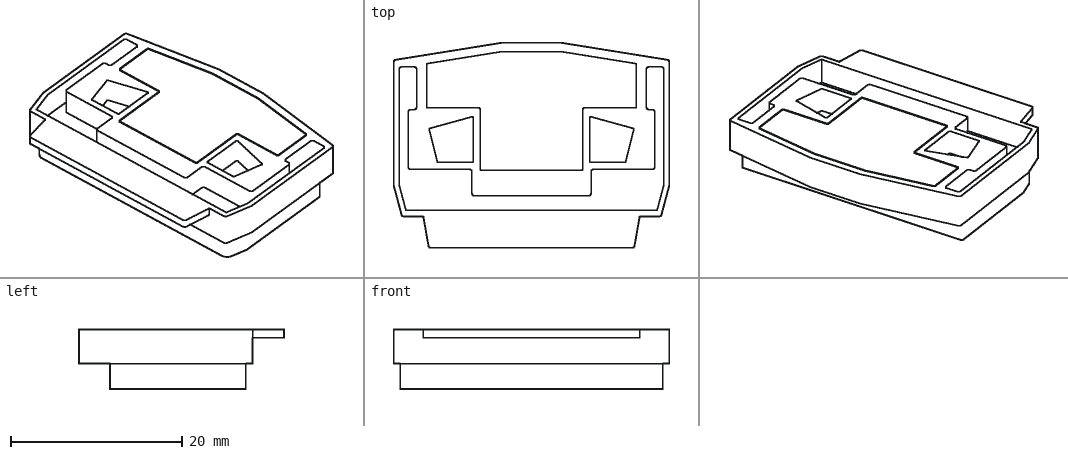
import cadquery as cq
import math

BASE_HEIGHT = 3.0
BODY_HEIGHT = 4.0
TOP_Z = BASE_HEIGHT + BODY_HEIGHT

BODY_HALF_WIDTH = 16.1
BODY_DEPTH = 20.32
SHOULDER_Y = 18.3
CROWN_HALF_WIDTH = 3.45
CHAMFER_Y = 3.57
CHAMFER_ANGLE = 15
CHAMFER_SLOPE = math.tan(math.radians(CHAMFER_ANGLE))
CORNER_RADIUS = 0.3
CROWN_SLOPE = (BODY_DEPTH - SHOULDER_Y) / (BODY_HALF_WIDTH - CROWN_HALF_WIDTH)

BASE_HALF_WIDTH = 15.35
BASE_FRONT_Y = 0.8
BASE_BACK_Y = 16.68
BASE_CHAMFER_Y = 3.57
BASE_CORNER_RADIUS = 1.0
BASE_BACK_RADIUS = 0.1

TONGUE_LENGTH = 3.67
TONGUE_THICKNESS = 1.0
TONGUE_ROOT_HALF_WIDTH = 12.65
TONGUE_TAPER_ANGLE = 10
TONGUE_TAPER = TONGUE_LENGTH * math.tan(math.radians(TONGUE_TAPER_ANGLE))
TONGUE_TIP_HALF_WIDTH = TONGUE_ROOT_HALF_WIDTH - TONGUE_TAPER

CHANNEL_DEPTH = 3.12
SIDE_WALL = 0.65
FRONT_WALL = 0.7
CHANNEL_HALF_WIDTH = BODY_HALF_WIDTH - SIDE_WALL
CHANNEL_CHAMFER_Y = CHAMFER_Y + SIDE_WALL * math.tan(math.radians(CHAMFER_ANGLE / 2))
CHANNEL_BACK_Y = 17.5
CHANNEL_ARM_INNER_X = 13.43
CHANNEL_STEP_Y = 12.5
ISLAND_HALF_WIDTH = 14.4
ISLAND_FRONT_Y = 5.5
ISLAND_NOSE_HALF_WIDTH = 6.95
ISLAND_NOSE_Y = 2.4
CHANNEL_RADIUS = 0.3

RECESS_DEPTH = 0.1
RECESS_HALF_WIDTH = 12.27
RECESS_STEM_HALF_WIDTH = 6.0
RECESS_BACK_Y = 19.25
RECESS_CROWN_HALF_WIDTH = 3.55
RECESS_SHOULDER_Y = RECESS_BACK_Y - (RECESS_HALF_WIDTH - RECESS_CROWN_HALF_WIDTH) * CROWN_SLOPE
RECESS_STEP_Y = 12.7
RECESS_FRONT_Y = 5.4
RECESS_RADIUS = 0.15

WINDOW_DEPTH = 3.0
WINDOW_CORNERS = [(6.83, 6.3), (10.98, 6.3), (11.98, 10.27), (6.83, 11.7)]
WINDOW_RADIUS = 0.1

SEARCH_REACH = 0.015


def symmetric_outline(right_half):
    """Close a right-hand outline, listed front to back, with its mirror image."""
    return right_half + [(-x, y) for x, y in reversed(right_half)]


def prism(points, bottom_z, height):
    return cq.Workplane("XY").workplane(offset=bottom_z).polyline(points).close().extrude(height)


def upright_edges(solid, corners, radius):
    """Round the vertical edges at the given corners and at their mirror images in X."""
    middle_z = solid.val().Center().z
    for x, y in corners:
        for side in (-1, 1):
            low = (side * x - SEARCH_REACH, y - SEARCH_REACH, middle_z - SEARCH_REACH)
            high = (side * x + SEARCH_REACH, y + SEARCH_REACH, middle_z + SEARCH_REACH)
            solid = solid.edges(cq.selectors.BoxSelector(low, high)).fillet(radius)
    return solid


def chamfered_front(half_width, chamfer_y, front_y):
    """Front corner and chamfer start of a side that leans in towards the front."""
    front_half_width = half_width - (chamfer_y - front_y) * CHAMFER_SLOPE
    return [(front_half_width, front_y), (half_width, chamfer_y)]


def make_body():
    front = chamfered_front(BODY_HALF_WIDTH, CHAMFER_Y, 0)
    shoulder = (BODY_HALF_WIDTH, SHOULDER_Y)
    outline = symmetric_outline(front + [shoulder, (CROWN_HALF_WIDTH, BODY_DEPTH)])
    body = prism(outline, BASE_HEIGHT, BODY_HEIGHT)
    return upright_edges(body, [front[0], shoulder], CORNER_RADIUS)


def make_base():
    front = chamfered_front(BASE_HALF_WIDTH, BASE_CHAMFER_Y, BASE_FRONT_Y)
    back = (BASE_HALF_WIDTH, BASE_BACK_Y)
    base = prism(symmetric_outline(front + [back]), 0, BASE_HEIGHT)
    base = upright_edges(base, front, BASE_CORNER_RADIUS)
    return upright_edges(base, [back], BASE_BACK_RADIUS)


def add_tongue(body):
    tip = (TONGUE_TIP_HALF_WIDTH, -TONGUE_LENGTH)
    root = (TONGUE_ROOT_HALF_WIDTH, 0)
    inside_body = (TONGUE_ROOT_HALF_WIDTH, FRONT_WALL / 2)
    bottom_z = TOP_Z - TONGUE_THICKNESS
    tongue = prism(symmetric_outline([tip, root, inside_body]), bottom_z, TONGUE_THICKNESS)
    tongue = upright_edges(tongue, [tip], CORNER_RADIUS)
    return body.union(tongue)


def make_channel():
    front = chamfered_front(CHANNEL_HALF_WIDTH, CHANNEL_CHAMFER_Y, FRONT_WALL)
    rounded = [
        (CHANNEL_HALF_WIDTH, CHANNEL_BACK_Y),
        (CHANNEL_ARM_INNER_X, CHANNEL_BACK_Y),
        (CHANNEL_ARM_INNER_X, CHANNEL_STEP_Y),
        (ISLAND_HALF_WIDTH, CHANNEL_STEP_Y),
        (ISLAND_HALF_WIDTH, ISLAND_FRONT_Y),
        (ISLAND_NOSE_HALF_WIDTH, ISLAND_FRONT_Y),
        (ISLAND_NOSE_HALF_WIDTH, ISLAND_NOSE_Y),
    ]
    channel = prism(symmetric_outline(front + rounded), TOP_Z - CHANNEL_DEPTH, CHANNEL_DEPTH)
    return upright_edges(channel, rounded, CHANNEL_RADIUS)


def make_recess():
    rounded = [
        (RECESS_STEM_HALF_WIDTH, RECESS_FRONT_Y),
        (RECESS_STEM_HALF_WIDTH, RECESS_STEP_Y),
        (RECESS_HALF_WIDTH, RECESS_STEP_Y),
        (RECESS_HALF_WIDTH, RECESS_SHOULDER_Y),
    ]
    outline = symmetric_outline(rounded + [(RECESS_CROWN_HALF_WIDTH, RECESS_BACK_Y)])
    recess = prism(outline, TOP_Z - RECESS_DEPTH, RECESS_DEPTH)
    return upright_edges(recess, rounded, RECESS_RADIUS)


def make_windows():
    window = prism(WINDOW_CORNERS, TOP_Z - WINDOW_DEPTH, WINDOW_DEPTH)
    window = window.edges("|Z").fillet(WINDOW_RADIUS)
    return window.union(window.mirror("YZ"))


result = add_tongue(make_body()).union(make_base())
result = result.cut(make_channel()).cut(make_recess()).cut(make_windows())